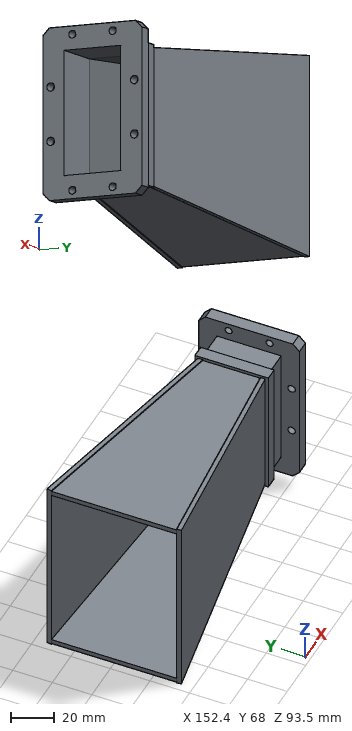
import cadquery as cq

total_length = 152.4
flange_thickness = 6.5
neck_length = 12.6
collar_length = 6.2

bore_width = 29.1
bore_height = 58.2
neck_wall = 1.7

mouth_width = 68.0
mouth_height = 93.5
plate_thickness = 2.5
side_plate_overhang = 0.5
mouth_setback = 0.3

collar_width = 37.2
collar_height = 66.3

flange_width = 50.9
flange_height = 80.3
flange_corner_chamfer = 3.4

end_hole_diameter = 3.5
side_hole_diameter = 3.8
side_hole_y = 21.5
end_hole_z = 36.3
end_hole_pitch = 20.7
side_hole_pitch = 25.3

flange_start = total_length - flange_thickness
neck_start = flange_start - neck_length
throat = neck_start - collar_length

throat_width = bore_width + 2 * plate_thickness
side_slope = (mouth_width - throat_width) / 2 / (throat - mouth_setback)
unbevelled_width = throat_width + 2 * side_slope * throat
inner_mouth_width = unbevelled_width - 2 * plate_thickness


def block(start, length, width, height):
    """Box centred on the X axis, extending along +X from start."""
    return cq.Workplane("YZ").workplane(offset=start).rect(width, height).extrude(length)


def taper(mouth_y, mouth_z, throat_y, throat_z):
    """Rectangular frustum from the mouth to the throat."""
    return (
        cq.Workplane("YZ")
        .rect(mouth_y, mouth_z)
        .workplane(offset=throat)
        .rect(throat_y, throat_z)
        .loft(ruled=True)
    )


def mouth_bevels():
    """Wedges that leave the mouth ends of the side plates square to their slope."""
    wedge = (
        cq.Workplane("XY")
        .workplane(offset=-mouth_height / 2)
        .moveTo(0, inner_mouth_width / 2)
        .lineTo(0, unbevelled_width / 2)
        .lineTo(mouth_setback, mouth_width / 2)
        .close()
        .extrude(mouth_height)
    )
    return wedge.union(wedge.mirror("XZ"))


def make_horn():
    """Four tapered plates; the side plates stand slightly proud of the top and bottom."""
    walls = 2 * plate_thickness
    overhang = 2 * side_plate_overhang
    throat_height = bore_height + walls
    envelope = taper(unbevelled_width, mouth_height, throat_width, throat_height + overhang)
    gap = taper(inner_mouth_width, mouth_height, bore_width, throat_height + overhang)
    end_plates = taper(inner_mouth_width, mouth_height - overhang, bore_width, throat_height)
    cavity = taper(inner_mouth_width, mouth_height - overhang - walls, bore_width, bore_height)
    side_plates = envelope.cut(gap)
    return side_plates.cut(mouth_bevels()).union(end_plates.cut(cavity))


def bolt_holes(pitch_y, pitch_z, diameter):
    """Four through holes at the corners of a rectangle centred on the bore."""
    return (
        cq.Workplane("YZ")
        .workplane(offset=flange_start)
        .rect(pitch_y, pitch_z, forConstruction=True)
        .vertices()
        .circle(diameter / 2)
        .extrude(flange_thickness)
    )


def make_flange():
    """Corner-chamfered plate with two bolt holes along each of its four edges."""
    plate = block(flange_start, flange_thickness, flange_width, flange_height)
    plate = plate.edges("|X").chamfer(flange_corner_chamfer)
    end_holes = bolt_holes(end_hole_pitch, 2 * end_hole_z, end_hole_diameter)
    side_holes = bolt_holes(2 * side_hole_y, side_hole_pitch, side_hole_diameter)
    return plate.cut(end_holes).cut(side_holes)


collar = block(throat, collar_length, collar_width, collar_height)
neck = block(neck_start, neck_length, bore_width + 2 * neck_wall, bore_height + 2 * neck_wall)
bore = block(throat, total_length - throat, bore_width, bore_height)
waveguide = collar.union(neck).union(make_flange()).cut(bore)

result = make_horn().union(waveguide)